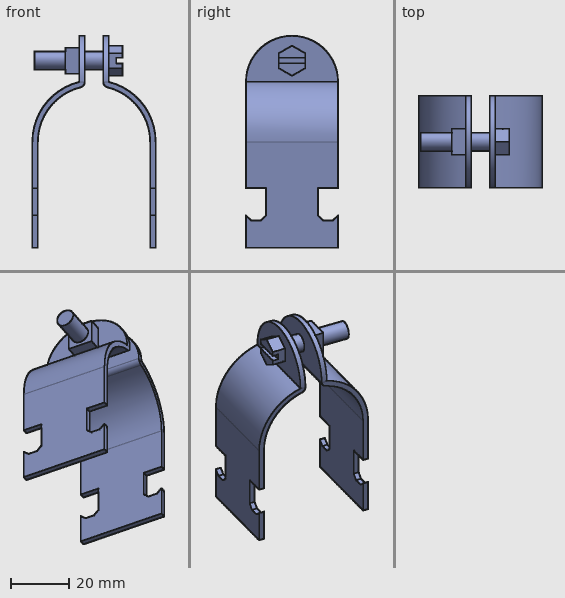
import cadquery as cq
import math

height = 73.0
outer_width = 42.5
depth = 31.8
thickness = 2.0
tab_gap = 6.3

notch_top = 20.6
notch_floor = 9.5
notch_depth = 6.95
notch_lip_width = 1.9
notch_corner_width = 1.75
notch_slope_height = 1.7

bolt_z = 64.4
bolt_diameter = 6.35
bolt_end_x = -20.5
nut_width = 9.0
nut_thickness = 4.75
head_flats = 9.0
head_thickness = 4.75
slot_width = 1.9
slot_depth = 2.1

outer_radius = outer_width / 2
inner_radius = outer_radius - thickness
tab_inner_x = tab_gap / 2
tab_outer_x = tab_inner_x + thickness
tab_radius = depth / 2
bend_z = height - tab_radius
arc_center_z = bend_z - math.sqrt(outer_radius**2 - tab_outer_x**2)
bend_angle = math.acos(tab_outer_x / outer_radius)


def arc_point(radius, angle):
    """Point in XZ on a circle about the shoulder arc's centre."""
    return (radius * math.cos(angle), arc_center_z + radius * math.sin(angle))


def strip_blank():
    """Bent strip of the +X half: leg, shoulder arc and upright tab."""
    bend_mid_angle = math.pi + bend_angle / 2
    bend_mid = (
        tab_outer_x + thickness * math.cos(bend_mid_angle),
        bend_z + thickness * math.sin(bend_mid_angle),
    )
    return (
        cq.Workplane("XZ")
        .moveTo(inner_radius, 0)
        .lineTo(outer_radius, 0)
        .lineTo(outer_radius, arc_center_z)
        .threePointArc(arc_point(outer_radius, bend_angle / 2), (tab_outer_x, bend_z))
        .lineTo(tab_outer_x, height)
        .lineTo(tab_inner_x, height)
        .lineTo(tab_inner_x, bend_z)
        .threePointArc(bend_mid, arc_point(inner_radius, bend_angle))
        .threePointArc(arc_point(inner_radius, bend_angle / 2), (inner_radius, arc_center_z))
        .close()
        .extrude(tab_radius, both=True)
    )


def tab_outline():
    """Side outline with a half-round top, extruded across the +X half."""
    return (
        cq.Workplane("YZ")
        .moveTo(-tab_radius, 0)
        .lineTo(tab_radius, 0)
        .lineTo(tab_radius, bend_z)
        .threePointArc((0, height), (-tab_radius, bend_z))
        .close()
        .extrude(outer_width)
    )


def notch_cutter(side):
    """Hook-shaped edge notch; side is +1 or -1 along Y."""
    edge_y = side * tab_radius
    inner_y = side * (tab_radius - notch_depth)
    slope_top = notch_floor + notch_slope_height
    return (
        cq.Workplane("YZ")
        .moveTo(edge_y, notch_top)
        .lineTo(inner_y, notch_top)
        .lineTo(inner_y, slope_top)
        .lineTo(inner_y + side * notch_corner_width, notch_floor)
        .lineTo(edge_y - side * notch_lip_width, notch_floor)
        .lineTo(edge_y, slope_top)
        .close()
        .extrude(outer_width)
    )


def shank(start_x, end_x):
    """Round bar along X on the bolt axis."""
    return (
        cq.Workplane("YZ", origin=(start_x, 0, bolt_z))
        .circle(bolt_diameter / 2)
        .extrude(end_x - start_x)
    )


def make_clamp_half():
    """The +X half of the clamp, with its notches and bolt hole."""
    half = strip_blank().intersect(tab_outline())
    for side in (-1, 1):
        half = half.cut(notch_cutter(side))
    return half.cut(shank(0, outer_radius))


def make_bolt():
    """Slotted hexagon-head bolt, with head corners pointing up and down."""
    head_corners = head_flats / math.cos(math.pi / 6)
    head = (
        cq.Workplane("YZ", origin=(tab_outer_x, 0, bolt_z))
        .transformed(rotate=(0, 0, 90))
        .polygon(6, head_corners)
        .extrude(head_thickness)
    )
    slot_center_x = tab_outer_x + head_thickness - slot_depth / 2
    slot = cq.Workplane("XY", origin=(slot_center_x, 0, bolt_z)).box(
        slot_depth, head_corners, slot_width
    )
    return shank(bolt_end_x, tab_outer_x).union(head).cut(slot)


def make_nut():
    """Square nut bearing on the -X tab."""
    nut = (
        cq.Workplane("YZ", origin=(-tab_outer_x, 0, bolt_z))
        .rect(nut_width, nut_width)
        .extrude(-nut_thickness)
    )
    return nut.cut(shank(bolt_end_x, 0))


right_half = make_clamp_half()
left_half = right_half.mirror("YZ")
bolt = make_bolt()
nut = make_nut()

result = cq.Compound.makeCompound(
    [right_half.val(), left_half.val(), bolt.val(), nut.val()]
)